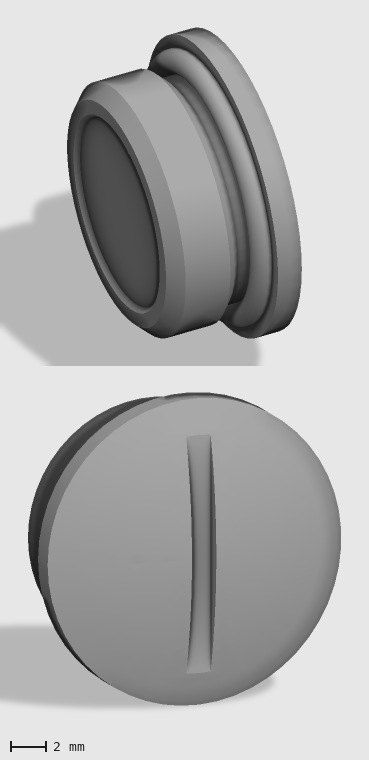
import cadquery as cq
import math

flange_radius = 9.0
flange_thickness = 1.5
dome_height = 1.51
slot_width = 1.5
slot_depth = 0.9

neck_radius = 6.75
neck_length = 1.5
body_radius = 7.6
body_end = 6.0
body_chamfer = body_radius - neck_radius

ring_section_radius = 0.75
ring_center_radius = 7.49
ring_center_depth = 0.25

recess_mouth_radius = 5.89
recess_floor_radius = 5.6
recess_depth = 0.29

apex = flange_thickness + dome_height


def revolve_about_y(profile):
    return profile.close().revolve(360, (0, 0, 0), (0, 1, 0))


def make_plug():
    """Domed flange, neck and chamfered body with a shallow tapered recess."""
    sphere_radius = (flange_radius**2 + dome_height**2) / (2 * dome_height)
    mid_radius = flange_radius / 2
    mid_height = apex - sphere_radius + math.sqrt(sphere_radius**2 - mid_radius**2)
    return revolve_about_y(
        cq.Workplane("XY")
        .moveTo(0, apex)
        .threePointArc((mid_radius, mid_height), (flange_radius, flange_thickness))
        .lineTo(flange_radius, 0)
        .lineTo(neck_radius, 0)
        .lineTo(neck_radius, -neck_length)
        .lineTo(body_radius, -neck_length - body_chamfer)
        .lineTo(body_radius, -body_end + body_chamfer)
        .lineTo(body_radius - body_chamfer, -body_end)
        .lineTo(recess_mouth_radius, -body_end)
        .lineTo(recess_floor_radius, -body_end + recess_depth)
        .lineTo(0, -body_end + recess_depth)
    )


def make_sealing_ring():
    """Round-section ring partly sunk into the flange, with no gap left behind it."""
    inner_radius = ring_center_radius - ring_section_radius
    half_chord = math.sqrt(ring_section_radius**2 - ring_center_depth**2)
    return revolve_about_y(
        cq.Workplane("XY")
        .moveTo(inner_radius, 0)
        .lineTo(ring_center_radius + half_chord, 0)
        .threePointArc(
            (ring_center_radius, -ring_center_depth - ring_section_radius),
            (inner_radius, -ring_center_depth),
        )
    )


def make_slot():
    """Screwdriver slot running along Z right across the dome."""
    return (
        cq.Workplane("XY")
        .box(slot_width, slot_depth, 2 * flange_radius)
        .translate((0, apex - slot_depth / 2, 0))
    )


result = make_plug().union(make_sealing_ring()).cut(make_slot())